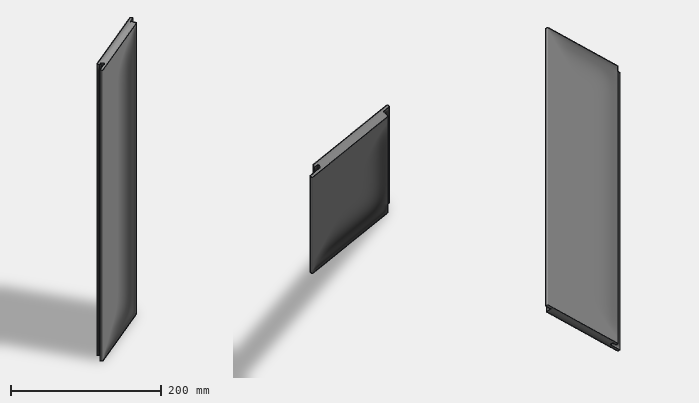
import cadquery as cq

length = 450.0
thickness = 13.0
width = 142.0

lip_thickness = 4.0
rear_lip_length = 10.0
tongue_overhang = 12.0
groove_depth = 5.5
groove_floor_rise = 0.75
edge_radius = 1.0
selection_margin = 0.05

shoulder_y = width - rear_lip_length
front_lip_y = tongue_overhang
groove_floor_y = front_lip_y + groove_depth
tongue_x = thickness - lip_thickness
groove_middle_x = (lip_thickness + tongue_x) / 2


def round_long_edge(body, x, y):
    """Round the edge that runs along Z at (x, y)."""
    around_edge = cq.selectors.BoxSelector(
        (x - selection_margin, y - selection_margin, 0),
        (x + selection_margin, y + selection_margin, length),
    )
    return body.edges(around_edge).edges("|Z").fillet(edge_radius)


profile = (
    cq.Workplane("XY")
    .moveTo(0, front_lip_y)
    .lineTo(lip_thickness, front_lip_y)
    .lineTo(lip_thickness, groove_floor_y)
    .threePointArc(
        (groove_middle_x, groove_floor_y + groove_floor_rise),
        (tongue_x, groove_floor_y),
    )
    .lineTo(tongue_x, 0)
    .lineTo(thickness, 0)
    .lineTo(thickness, shoulder_y)
    .lineTo(lip_thickness, shoulder_y)
    .lineTo(lip_thickness, width)
    .lineTo(0, width)
    .close()
)
panel = profile.extrude(length)

broad_face_corners = [
    (0, front_lip_y),
    (0, width),
    (thickness, 0),
    (thickness, shoulder_y),
]
for corner_x, corner_y in broad_face_corners:
    panel = round_long_edge(panel, corner_x, corner_y)

result = panel